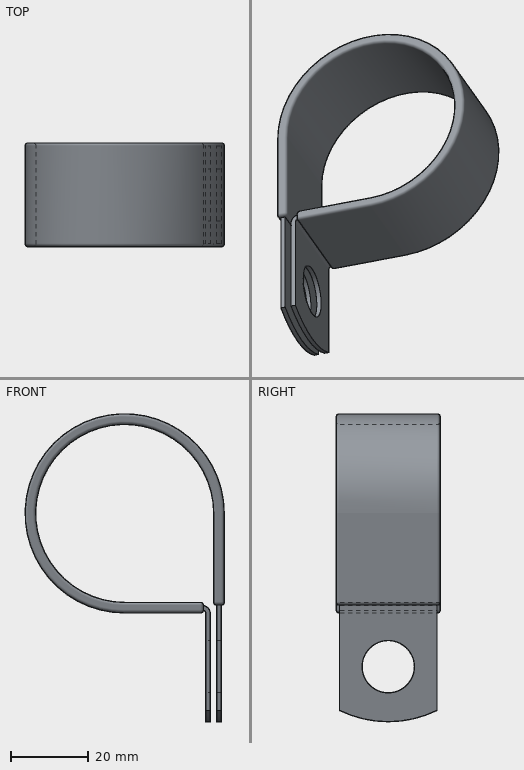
import cadquery as cq
import math

length = 79.8
sleeve_outer_radius = 25.805
sleeve_thickness = 2.8
sleeve_width = 27.0
edge_round = 0.8
strap_thickness = 1.2
strap_width = 25.3
lower_leg_end = 20.4
side_leg_depth = 23.8
left_tab_x = 21.0
bend_inner_radius = 0.95
tip_rise = 2.95
hole_diameter = 13.5
hole_to_tip = 14.3

center_radius = sleeve_outer_radius - sleeve_thickness / 2
tip_z = sleeve_outer_radius - length
corner_z = tip_z + tip_rise
bend_outer_radius = bend_inner_radius + strap_thickness
bend_center_z = -center_radius + strap_thickness / 2 - bend_outer_radius
bend_center_x = left_tab_x - bend_inner_radius
right_tab_x = center_radius - strap_thickness / 2


def extrude_across(sketch, width):
    """Extrude a closed XZ outline symmetrically along Y."""
    return sketch.extrude(width / 2, both=True)


def make_sleeve():
    """Thick three-quarter loop with two straight legs and rounded edges."""
    outer = sleeve_outer_radius
    inner = outer - sleeve_thickness
    diagonal = math.sqrt(0.5)
    outline = (
        cq.Workplane("XZ")
        .moveTo(lower_leg_end, -outer)
        .lineTo(0, -outer)
        .threePointArc((-outer * diagonal, outer * diagonal), (outer, 0))
        .lineTo(outer, -side_leg_depth)
        .lineTo(inner, -side_leg_depth)
        .lineTo(inner, 0)
        .threePointArc((-inner * diagonal, inner * diagonal), (0, -inner))
        .lineTo(lower_leg_end, -inner)
        .close()
    )
    return extrude_across(outline, sleeve_width).edges().fillet(edge_round)


def make_tab(left_x, top_z):
    """Flat strap tab hanging down from top_z."""
    return (
        cq.Workplane("YZ", origin=(left_x, 0, 0))
        .moveTo(-strap_width / 2, top_z)
        .lineTo(-strap_width / 2, corner_z)
        .threePointArc((0, tip_z), (strap_width / 2, corner_z))
        .lineTo(strap_width / 2, top_z)
        .close()
        .extrude(strap_thickness)
    )


def make_bend():
    """Quarter-round strap bend, with a short root buried in the lower sleeve leg."""
    outer_offset = bend_outer_radius * math.sqrt(0.5)
    inner_offset = bend_inner_radius * math.sqrt(0.5)
    root_x = lower_leg_end - sleeve_thickness
    outline = (
        cq.Workplane("XZ")
        .moveTo(root_x, bend_center_z + bend_inner_radius)
        .lineTo(root_x, bend_center_z + bend_outer_radius)
        .lineTo(bend_center_x, bend_center_z + bend_outer_radius)
        .threePointArc(
            (bend_center_x + outer_offset, bend_center_z + outer_offset),
            (bend_center_x + bend_outer_radius, bend_center_z),
        )
        .lineTo(left_tab_x, bend_center_z)
        .threePointArc(
            (bend_center_x + inner_offset, bend_center_z + inner_offset),
            (bend_center_x, bend_center_z + bend_inner_radius),
        )
        .close()
    )
    return extrude_across(outline, strap_width)


def make_bolt_hole():
    """Cylinder along X that passes through both tabs."""
    return (
        cq.Workplane("YZ")
        .center(0, tip_z + hole_to_tip)
        .circle(hole_diameter / 2)
        .extrude(sleeve_outer_radius)
    )


side_tab_top = sleeve_thickness - side_leg_depth

result = (
    make_sleeve()
    .union(make_bend())
    .union(make_tab(left_tab_x, bend_center_z))
    .union(make_tab(right_tab_x, side_tab_top))
    .cut(make_bolt_hole())
)